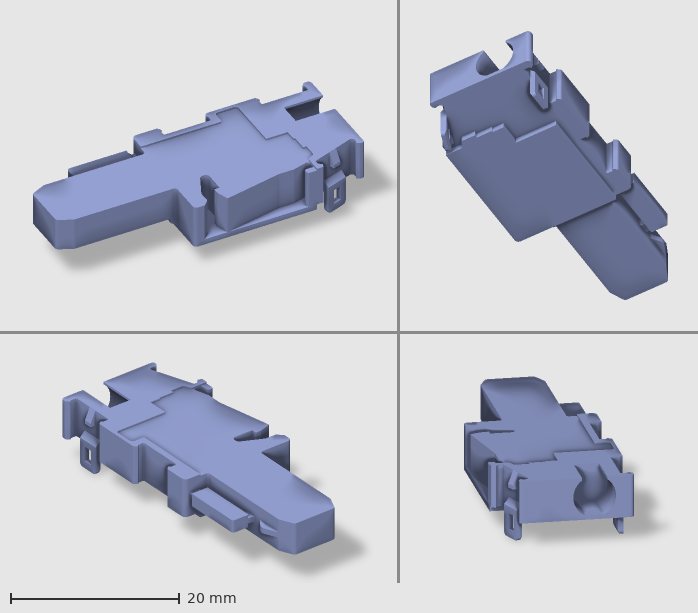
import cadquery as cq
import math

top_z = 5.95
cover_top_z = 5.73
shell_bottom_z = 0.75
plug_bottom_z = 1.42
mid_z = (cover_top_z + plug_bottom_z) / 2

body_width = 16.0
body_length = 39.5
body_front_y = 15.6
notch_depth = 1.5
front_corner_rounding = 0.5
plug_left = 3.5
plug_right = 11.3
taper_y = 1.98
taper_run = 0.9

shortest_side = 0.0005

slope_rear = (12.55, 38.15)
slope_front = (14.55, 32.55)
slope_run_x = slope_front[0] - slope_rear[0]
slope_run_y = slope_rear[1] - slope_front[1]
slope_angle = math.degrees(math.atan2(slope_run_x, slope_run_y))

cover_left = 2.35
cover_step_x = 7.85
cover_rear_y = 29.45
cover_edge_y = 32.0
cover_steps = [
    (cover_step_x, cover_rear_y),
    (cover_step_x, 32.35),
    (9.32, 32.35),
    (9.32, 32.55),
    (11.4, 32.55),
    (11.4, 33.0),
    (13.27, 33.0, 0.3),
    (13.7, cover_edge_y, 0.47),
    (body_width, cover_edge_y),
]


def corner_points(last, corner, following):
    """Points the outline passes at a corner: itself, or start, middle and end of its rounding arc."""
    here = cq.Vector(*corner[:2])
    if len(corner) == 2:
        return [here]
    radius = corner[2]
    to_last = (cq.Vector(*last[:2]) - here).normalized()
    to_following = (cq.Vector(*following[:2]) - here).normalized()
    half_angle = to_last.getAngle(to_following) / 2
    setback = radius / math.tan(half_angle)
    bisector = (to_last + to_following).normalized()
    middle = here + bisector * (radius / math.sin(half_angle) - radius)
    return [here + to_last * setback, middle, here + to_following * setback]


def prism(corners, z_low, z_high):
    """Extrude a closed outline; a third value on a corner is its rounding radius."""
    neighbours = zip(corners[-1:] + corners[:-1], corners, corners[1:] + corners[:1])
    stops = [corner_points(*trio) for trio in neighbours]
    edges = []
    for last, stop in zip(stops[-1:] + stops[:-1], stops):
        if (stop[0] - last[-1]).Length > shortest_side:
            edges.append(cq.Edge.makeLine(last[-1], stop[0]))
        if len(stop) == 3:
            edges.append(cq.Edge.makeThreePointArc(*stop))
    outline = cq.Wire.assembleEdges(edges)
    solid = cq.Solid.extrudeLinear(outline, [], cq.Vector(0, 0, z_high - z_low))
    return cq.Workplane("XY").add(solid).translate((0, 0, z_low))


def box(x_range, y_range, z_range):
    """Box spanning the given X, Y and Z ranges."""
    size = [high - low for low, high in (x_range, y_range, z_range)]
    corner = (x_range[0], y_range[0], z_range[0])
    return cq.Workplane("XY").box(*size, centered=False).translate(corner)


def rail_tooth(edge_y, side):
    """Corners of a small hook at a notch edge; side is the Y direction it points."""
    return [(0, edge_y - 0.3 * side, 0.3), (0.47, edge_y + 0.6 * side, 0.08), (0.67, edge_y)]


def notch(front_y, rear_y):
    """Corners of a rail-side notch, from its front edge to its rear edge."""
    inner = [(notch_depth, front_y, 0.15), (notch_depth, rear_y, 0.15)]
    return rail_tooth(front_y, 0.4) + inner + rail_tooth(rear_y, -0.4)[::-1]


def shell():
    """Housing shell with the rail notches on the left and the sloped wall on the right."""
    corners = [(0, body_front_y, 0.6)]
    corners += notch(19.1, 25.45)
    corners += notch(32.25, 38.47)
    corners += [
        (0, body_length, 0.47),
        (13.82, body_length, 0.28),
        (13.82, 38.85, 0.15),
        (13.5, 38.47, 0.08),
        (13.27, 38.65),
        (12.4, 38.65, 0.35),
        slope_front,
        (15.13, 32.55, 0.4),
        (15.45, 33.05, 0.08),
        (body_width, 32.85, 0.15),
        (body_width, body_front_y, front_corner_rounding),
    ]
    return prism(corners, shell_bottom_z, top_z)


def cover_step():
    """Material removed above the cover, which sits just below the shell top."""
    tab_left = 0.47
    tab_front_y = 26.45
    corners = [
        (cover_left, body_front_y),
        (cover_left, tab_front_y, 0.25),
        (tab_left, tab_front_y, 0.5),
        (tab_left, cover_rear_y, 0.4),
    ]
    corners += cover_steps + [(body_width, body_front_y)]
    return prism(corners, cover_top_z, top_z)


def lower_plate():
    """Plate under the shell that follows the cover outline without its tab."""
    corners = [(cover_left, body_front_y), (cover_left, cover_rear_y)]
    corners += cover_steps + [(body_width, body_front_y, front_corner_rounding)]
    return prism(corners, 0, shell_bottom_z)


def lever_pockets():
    """Slanted pocket and hooked pocket open to the right side, above the lower plate."""
    lever_x = 15.15
    lever_front_y = 30.7
    lever_rounding = 0.35
    outside_x = body_width + 0.4
    slanted = [
        (13.9, cover_edge_y, 0.35),
        (14.55, 29.7),
        (14.55, 27.65),
        (body_width, 20.15),
        (outside_x, 20.15),
        (outside_x, lever_front_y + lever_rounding),
        (body_width, lever_front_y + lever_rounding),
        (body_width, lever_front_y, lever_rounding),
        (lever_x, lever_front_y, lever_rounding),
        (lever_x, cover_edge_y, 0.15),
    ]
    hooked = [
        (10.63, 20.2, 0.5),
        (13.65, 20.2),
        (13.65, 19.47),
        (14.45, 19.47),
        (body_width, 20.0),
        (body_width, 16.95),
        (15.25, 17.7),
        (13.75, 17.7),
        (10.63, 19.15, 0.6),
    ]
    pockets = prism(slanted, shell_bottom_z, cover_top_z)
    return pockets.union(prism(hooked, shell_bottom_z, cover_top_z))


def wire_channel():
    """Round bore with a flat floor, opened to the top by a narrower slot."""
    slot_left, slot_right = 3.28, 6.32
    centre_x = (slot_left + slot_right) / 2
    centre_z = 3.6
    radius = 2.55
    floor_half_width = 1.1
    end_y = 34.25
    floor_z = centre_z - math.sqrt(radius**2 - floor_half_width**2)
    bore = (
        cq.Workplane("XZ", origin=(centre_x, body_length, centre_z))
        .circle(radius)
        .extrude(body_length - end_y)
    )
    y_range = (end_y, body_length)
    below_top = box((centre_x - radius, centre_x + radius), y_range, (floor_z, top_z))
    slot = box((slot_left, slot_right), y_range, (centre_z, top_z))
    return bore.intersect(below_top).union(slot)


def foot():
    """Mounting foot and the wedge above it, on a wall at X = 0 facing -X."""
    thickness = 0.7
    width = 3.0
    foot_bottom_z = -2.25
    wedge_width = 1.1
    wedge_bottom_z = 3.9
    wedge_tip_height = 0.47
    foot_wall_z = 2.3
    toe_width = 0.47
    toe_chamfer_height = 0.5
    corner_rounding = 0.45
    window_y = (-0.6, 0.67)
    window_z = (-1.3, 0.7)
    profile = [
        (0, foot_wall_z),
        (-thickness, foot_wall_z - thickness),
        (-thickness, foot_bottom_z),
        (toe_width - thickness, foot_bottom_z),
        (0, foot_bottom_z + toe_chamfer_height),
    ]
    wedge_profile = [
        (0, top_z),
        (-thickness, wedge_bottom_z + wedge_tip_height),
        (-thickness, wedge_bottom_z),
        (0, wedge_bottom_z),
    ]
    plate = cq.Workplane("XZ").polyline(profile).close().extrude(width / 2, both=True)
    rounding = box((-thickness, 0), (-width / 2, width / 2), (foot_bottom_z, top_z))
    plate = plate.intersect(rounding.edges("|X and <Z").fillet(corner_rounding))
    window = box((-thickness, 0), window_y, window_z)
    wedge = cq.Workplane("XZ").polyline(wedge_profile).close().extrude(wedge_width / 2, both=True)
    return plate.cut(window).union(wedge)


def feet():
    """One foot on the rail-side wall and a mirrored one on the sloped wall."""
    left_foot_y = 35.35
    left = foot().translate((notch_depth, left_foot_y, 0))
    right = foot().mirror("YZ").rotate((0, 0, 0), (0, 0, 1), slope_angle)
    run = 2.75
    right_x = slope_rear[0] + run * slope_run_x / slope_run_y
    return left.union(right.translate((right_x, slope_rear[1] - run, 0)))


def plug():
    """Plug tongue with a tapered tip and a thickened, chamfered root."""
    root_front_y = 14.95
    root_bottom_z = 0.35
    flare = 0.4
    tip_rounding = 0.47
    tongue = [
        (plug_left, body_front_y),
        (plug_left, taper_y),
        (plug_left + taper_run, 0, tip_rounding),
        (plug_right - taper_run, 0, tip_rounding),
        (plug_right, taper_y),
        (plug_right, body_front_y),
    ]
    root = [
        (plug_left - flare, body_front_y),
        (plug_left, body_front_y, flare),
        (plug_left, root_front_y),
        (plug_right, root_front_y),
        (plug_right, body_front_y, flare),
        (plug_right + flare, body_front_y),
    ]
    root_profile = [
        (body_front_y, root_bottom_z),
        (root_front_y, shell_bottom_z),
        (root_front_y, cover_top_z),
        (body_front_y, cover_top_z),
    ]
    root_limit = cq.Workplane("YZ").polyline(root_profile).close().extrude(body_width)
    body = prism(tongue, plug_bottom_z, cover_top_z)
    return body.union(prism(root, 0, cover_top_z).intersect(root_limit))


def latch_bar():
    """Side bar on a flared neck, with its bridge and the locking ramp on the plug."""
    bar_left, bar_right = 0.35, 2.73
    bar_front_y, bar_rear_y = 6.75, 14.7
    bar_height = 1.7
    neck_left, neck_right = 0.8, 2.25
    neck_front_y = 15.15
    neck_height = 0.75
    flare_width, flare_height = 2.05, 1.45
    embed = 0.4
    low_z, high_z = mid_z - neck_height / 2, mid_z + neck_height / 2
    bar = prism(
        [
            (bar_left, bar_front_y, 0.3),
            (bar_right, bar_front_y, 0.15),
            (bar_right, bar_rear_y),
            (bar_left, bar_rear_y),
        ],
        mid_z - bar_height / 2,
        mid_z + bar_height / 2,
    )
    neck = box((neck_left, neck_right), (neck_front_y, body_front_y), (low_z, high_z))
    neck_centre_x = (neck_left + neck_right) / 2
    flare = (
        cq.Workplane("XZ", origin=(neck_centre_x, neck_front_y, mid_z))
        .rect(neck_right - neck_left, neck_height)
        .workplane(offset=neck_front_y - bar_rear_y)
        .rect(flare_width, flare_height)
        .loft()
    )
    bridge_rear_y = 7.98
    end_flare = 0.28
    bridge = prism(
        [
            (bar_right - embed, bar_front_y),
            (plug_left, bar_front_y, end_flare),
            (plug_left, bar_front_y - end_flare),
            (plug_left + embed, bar_front_y - end_flare),
            (plug_left + embed, bridge_rear_y + end_flare),
            (plug_left, bridge_rear_y + end_flare),
            (plug_left, bridge_rear_y, end_flare),
            (bar_right - embed, bridge_rear_y),
        ],
        low_z,
        high_z,
    )
    ramp_rear_y = 5.65
    ramp_peak_y = 4.2
    ramp_peak_x = plug_left - (ramp_peak_y - taper_y) * taper_run / taper_y
    ramp = prism(
        [
            (plug_left, taper_y),
            (plug_left + embed, taper_y),
            (plug_left + embed, ramp_rear_y),
            (plug_left, ramp_rear_y),
            (ramp_peak_x, ramp_peak_y, 1.03),
        ],
        low_z,
        high_z,
    )
    return bar.union(neck).union(flare).union(bridge).union(ramp)


result = (
    shell()
    .cut(cover_step())
    .union(lower_plate())
    .cut(lever_pockets())
    .cut(wire_channel())
    .union(feet())
    .union(plug())
    .union(latch_bar())
)